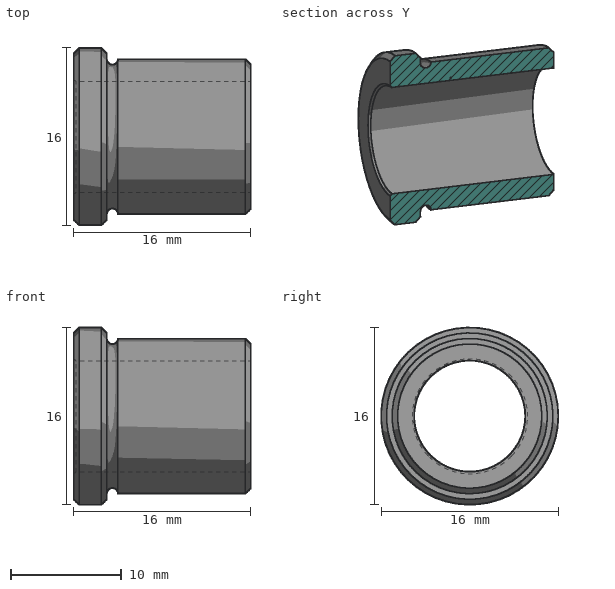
import cadquery as cq

length = 16.0
flange_diameter = 16.0
body_diameter = 14.0
bore_diameter = 10.0
flange_thickness = 3.0
edge_chamfer = 0.5
groove_radius = 0.5
bore_chamfer = 0.2

flange_radius = flange_diameter / 2
body_radius = body_diameter / 2
bore_radius = bore_diameter / 2
groove_center_x = flange_thickness + groove_radius
groove_end_x = flange_thickness + 2 * groove_radius


def bushing_body():
    """Revolve the outer profile, including the relief groove behind the flange."""
    profile = (
        cq.Workplane("XY")
        .lineTo(0, flange_radius - edge_chamfer)
        .lineTo(edge_chamfer, flange_radius)
        .lineTo(flange_thickness - edge_chamfer, flange_radius)
        .lineTo(flange_thickness, flange_radius - edge_chamfer)
        .lineTo(flange_thickness, body_radius)
        .threePointArc(
            (groove_center_x, body_radius - groove_radius),
            (groove_end_x, body_radius),
        )
        .lineTo(length - edge_chamfer, body_radius)
        .lineTo(length, body_radius - edge_chamfer)
        .lineTo(length, 0)
        .close()
    )
    return profile.revolve(360, (0, 0, 0), (1, 0, 0))


def bore_cutter():
    """Through bore with a small chamfer at the flange face."""
    profile = (
        cq.Workplane("XY")
        .lineTo(0, bore_radius + bore_chamfer)
        .lineTo(bore_chamfer, bore_radius)
        .lineTo(length, bore_radius)
        .lineTo(length, 0)
        .close()
    )
    return profile.revolve(360, (0, 0, 0), (1, 0, 0))


result = bushing_body().cut(bore_cutter())